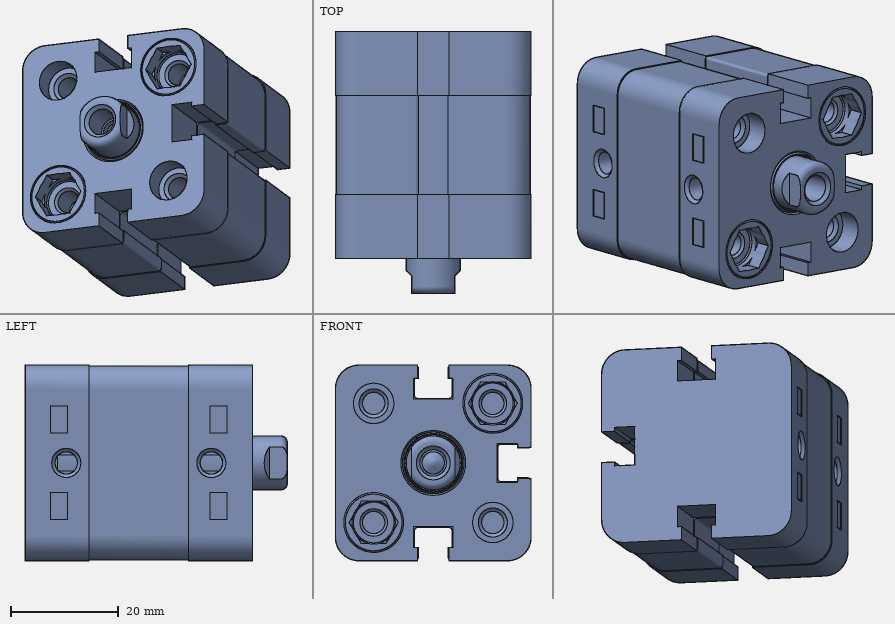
import cadquery as cq


total_length = 48.6
cap_length = 11.85
barrel_length = 18.4
barrel_start = cap_length
rear_cap_start = barrel_start + barrel_length
rear_face = rear_cap_start + cap_length
rod_projection = total_length - rear_face

cap_width = 36.3
corner_radius = 4.4
step = 0.17
barrel_width = cap_width - 2 * step
slot_edge_radius = 0.55

slot_mouth_width = 5.8
slot_cavity_width = 7.25
slot_floor = 11.8
slot_shoulder = 15.65
slot_angles = (0, 90, 180)

hole_offset = 11.05
thread_core_diameter = 4.15
thread_diameter = 4.9
counterbore_diameter = 7.5
counterbore_depth = 4.5
counterbore_chamfer = 0.65
socket_thread_chamfer = 0.5
core_hole_depth = 10.7

head_recess_diameter = 11.1
head_rim_diameter = 10.5
head_groove_depth = 0.5
hexagon_corner_width = 9.1
hexagon_depth = 3.0
socket_diameter = 8.0
socket_floor_diameter = 7.55
socket_wall_depth = 4.25
socket_depth = 4.5

port_inset = 7.65
port_chamfer = 0.65
port_depth = 5.85
channel_width = 2.95
channel_floor_diameter = 20.0
rear_channel_overrun = 1.65
label_inset = 6.3
label_length = 3.15
label_height = 5.0
label_offset = 8.0
label_depth = 0.2

rod_diameter = 10.0
rod_end = rear_cap_start
rod_tip_radius = 1.2
flat_width = 8.0
flat_length = 3.3
rod_thread_depth = 6.8
rod_core_depth = 8.25
rod_thread_chamfer = 0.7
cone_height = 1.0
guide_mouth_diameter = 12.0
guide_groove_diameter = 11.4
guide_groove_depth = 0.3
guide_lip_diameter = 10.9
guide_gap_diameter = 10.5
guide_gap_depth = 0.6


def cross_section(y):
    """Workplane across the cylinder axis; negative extrusion runs towards +Y."""
    return cq.Workplane("XZ", origin=(0, y, 0))


def cylinder(diameter, start, length, x=0, z=0):
    return cross_section(start).center(x, z).circle(diameter / 2).extrude(-length)


def cone(front_diameter, rear_diameter, start, length, x=0, z=0):
    return (
        cross_section(start).center(x, z).circle(front_diameter / 2)
        .workplane(offset=-length).circle(rear_diameter / 2).loft(ruled=True)
    )


def chamfer_cone(diameter, size, start, x=0, z=0):
    """45-degree countersink around a hole of the given diameter."""
    return cone(diameter + 2 * size, diameter, start, size, x, z)


def t_slot(start, length, inset, angle):
    """Tool for one T-slot, narrowed and raised by the inset, turned about the Y axis."""
    cavity_height = slot_shoulder - slot_floor - inset
    mouth_height = cap_width - slot_shoulder
    cavity = (
        cross_section(start).center(0, slot_shoulder - cavity_height / 2)
        .rect(slot_cavity_width - 2 * inset, cavity_height).extrude(-length)
    )
    if inset > 0:
        cavity = cavity.edges("|Y and <Z").fillet(slot_edge_radius)
    mouth = (
        cross_section(start).center(0, slot_shoulder + mouth_height / 2)
        .rect(slot_mouth_width - 2 * inset, mouth_height).extrude(-length)
    )
    return cavity.union(mouth).rotate((0, 0, 0), (0, 1, 0), angle)


def slotted_block(start, length, width, inset):
    block = cross_section(start).rect(width, width).extrude(-length).edges("|Y").fillet(corner_radius)
    for angle in slot_angles:
        block = block.cut(t_slot(start, length, inset, angle))
    return block


def port(y):
    """Threaded supply port drilled from the -X side."""
    side = cq.Workplane("YZ", origin=(-cap_width / 2, y, 0))
    drill = side.circle(thread_core_diameter / 2).extrude(port_depth)
    countersink = (
        side.circle(thread_core_diameter / 2 + port_chamfer)
        .workplane(offset=port_chamfer).circle(thread_core_diameter / 2).loft(ruled=True)
    )
    return drill.union(countersink)


def channel(start, end):
    """Air channel in the port floor, open towards the barrel joint."""
    outer = -cap_width / 2 + port_depth
    box = cq.Workplane("XY").box(
        -outer, end - start, channel_width, centered=(False, False, True)
    ).translate((outer, start, 0))
    return box.cut(cylinder(channel_floor_diameter, start, end - start))


def label_recesses(y):
    return (
        cq.Workplane("YZ", origin=(-cap_width / 2, y, 0))
        .pushPoints([(0, -label_offset), (0, label_offset)])
        .rect(label_length, label_height).extrude(label_depth)
    )


def counterbored_hole(x, z):
    return (
        cylinder(counterbore_diameter, 0, counterbore_depth, x, z)
        .union(chamfer_cone(thread_core_diameter, counterbore_chamfer, counterbore_depth, x, z))
        .union(cylinder(thread_core_diameter, 0, core_hole_depth, x, z))
    )


def screw_socket(x, z):
    """Groove around a screw head, its hexagon socket and the threaded hole in its floor."""
    rim = cone(head_rim_diameter, head_recess_diameter, 0, head_groove_depth, x, z)
    groove = cylinder(head_recess_diameter, 0, head_groove_depth, x, z).cut(rim)
    hexagon = (
        cross_section(0).center(x, z)
        .polygon(6, hexagon_corner_width).extrude(-hexagon_depth)
    )
    bevel_height = socket_depth - socket_wall_depth
    floor_bevel = cone(socket_diameter, socket_floor_diameter, socket_wall_depth, bevel_height, x, z)
    return (
        groove.union(hexagon)
        .union(cylinder(socket_diameter, 0, socket_wall_depth, x, z))
        .union(floor_bevel)
        .union(chamfer_cone(thread_core_diameter, socket_thread_chamfer, socket_depth, x, z))
        .union(cylinder(thread_core_diameter, 0, core_hole_depth, x, z))
    )


def rod_guide():
    """V-groove around the guide lip and the clearance between the lip and the rod."""
    chamfer_size = (guide_mouth_diameter - guide_groove_diameter) / 2
    lip = cone(guide_lip_diameter, guide_groove_diameter, 0, guide_groove_depth)
    return (
        chamfer_cone(guide_groove_diameter, chamfer_size, 0)
        .cut(lip)
        .union(cylinder(guide_gap_diameter, 0, guide_gap_depth))
    )


def rod_space():
    return cylinder(rod_diameter, -rod_projection, rod_projection + rod_end)


def end_cap(start, outer_face, inward):
    """Cap with slots, port and labels; inward is +1 or -1, from the outer face to the barrel."""
    return (
        slotted_block(start, cap_length, cap_width, 0)
        .cut(port(outer_face + inward * port_inset))
        .cut(label_recesses(outer_face + inward * label_inset))
    )


def make_front_cap():
    channel_start = port_inset - thread_core_diameter / 2
    cap = (
        end_cap(0, 0, 1)
        .cut(channel(channel_start, cap_length))
        .cut(rod_space())
        .cut(rod_guide())
    )
    for side in (-1, 1):
        cap = cap.cut(screw_socket(side * hole_offset, side * hole_offset))
        cap = cap.cut(counterbored_hole(side * hole_offset, -side * hole_offset))
    return cap


def make_barrel():
    barrel = slotted_block(
        barrel_start, barrel_length, barrel_width, step
    )
    half = barrel_width / 2
    mouth = slot_mouth_width / 2 - step
    middle = barrel_start + barrel_length / 2
    for side in (-1, 1):
        for x, z in ((side * mouth, half), (side * mouth, -half), (half, side * mouth)):
            edge = barrel.edges(cq.NearestToPointSelector((x, middle, z)))
            barrel = edge.fillet(slot_edge_radius)
    return barrel.cut(rod_space())


def make_rear_cap():
    channel_end = rear_face - port_inset + rear_channel_overrun
    return end_cap(rear_cap_start, rear_face, -1).cut(channel(rear_cap_start, channel_end))


def wrench_flat(side):
    """Tool for one wrench flat, ending in a 45-degree ramp."""
    inner = flat_width / 2
    outer = rod_diameter
    tip = -rod_projection
    flat_end = tip + flat_length
    return (
        cq.Workplane("XY")
        .moveTo(side * inner, tip)
        .lineTo(side * inner, flat_end)
        .lineTo(side * outer, flat_end + outer - inner)
        .lineTo(side * outer, tip)
        .close()
        .extrude(rod_diameter / 2, both=True)
    )


def make_rod():
    tip = -rod_projection
    rod = rod_space().faces("<Y").edges().fillet(rod_tip_radius)
    for side in (-1, 1):
        rod = rod.cut(wrench_flat(side))
    bore_end = tip + rod_core_depth
    core_bore = cylinder(thread_core_diameter, tip, rod_core_depth)
    raised_cone = cq.Workplane(
        cq.Solid.makeCone(
            thread_core_diameter / 2, 0, cone_height,
            pnt=cq.Vector(0, bore_end, 0), dir=cq.Vector(0, -1, 0),
        )
    )
    thread_bore = cylinder(thread_diameter, tip, rod_thread_depth)
    countersink = chamfer_cone(thread_diameter, rod_thread_chamfer, tip)
    return rod.cut(thread_bore).cut(countersink).cut(core_bore.cut(raised_cone))


front_cap = make_front_cap()
barrel = make_barrel()
rear_cap = make_rear_cap()
rod = make_rod()

result = cq.Compound.makeCompound(
    [front_cap.val(), barrel.val(), rear_cap.val(), rod.val()]
)